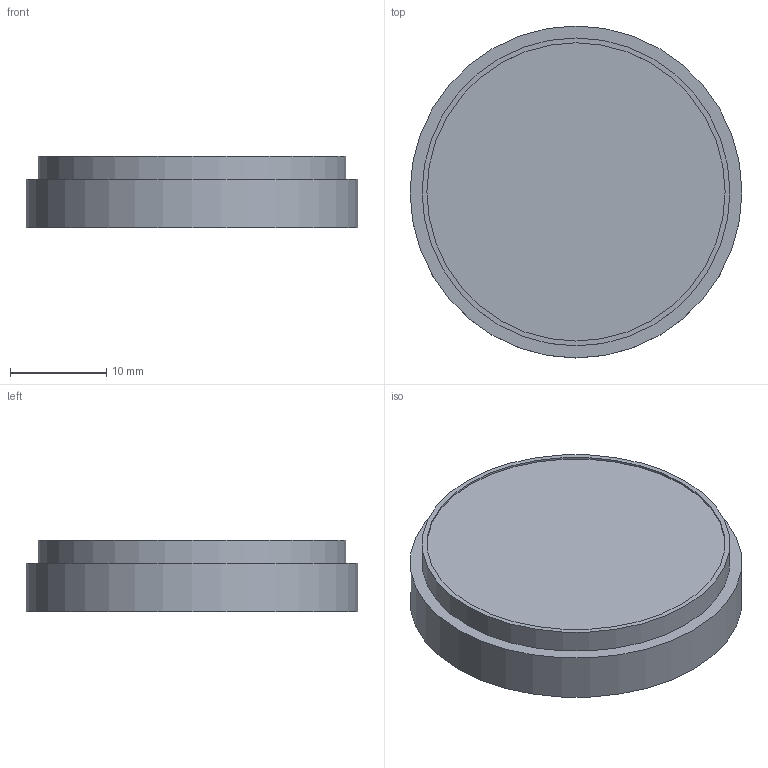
import cadquery as cq

base_diameter = 34.5
base_height = 5.0
step_diameter = 32.0
total_height = 7.4
rim_width = 0.5
recess_depth = 0.2

step_height = total_height - base_height
recess_diameter = step_diameter - 2 * rim_width
recess_floor = total_height - recess_depth


def disc(diameter, height, bottom):
    """Upright disc centred on the Z axis, with its lower face at Z = bottom."""
    return cq.Workplane("XY").workplane(offset=bottom).circle(diameter / 2).extrude(height)


base = disc(base_diameter, base_height, 0)
step = disc(step_diameter, step_height, base_height)

recess = disc(recess_diameter, recess_depth, recess_floor)

result = base.union(step).cut(recess)